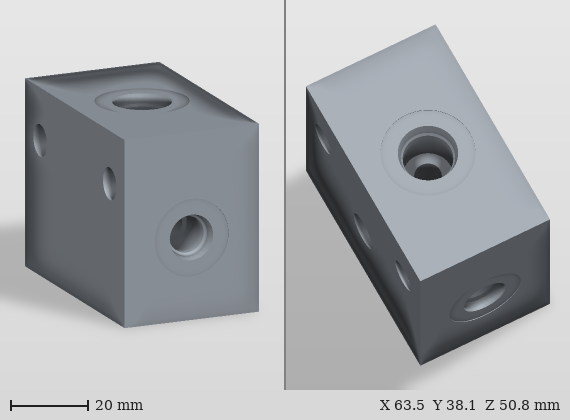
import cadquery as cq
import math

length = 63.5
width = 38.1
height = 50.8

mount_diameter = 8.7
mount_spacing = 44.45
mount_z = 36.5

drill_diameter = 7.2
gallery_z = 22.2
base_drill_x = -15.9

back_diameter = 10.3
back_shoulder_y = 1.3
drill_point_angle = 118.0

spotface_depth = 0.2
seat_depth = 2.7
ledge_depth = 3.4

top_spotface = 24.65
top_seat = 15.7
top_seat_end = 14.15
top_bore = 13.15
top_bore_depth = 14.0

side_spotface = 20.95
side_seat = 12.3
side_seat_end = 11.2
side_bore = 9.8
side_bore_depth = 14.15


def port(origin, inward, spotface, seat, seat_end, bore, bore_depth):
    """Port cavity of the given diameters, running from a face into the block."""
    profile = (
        cq.Workplane("XZ")
        .polyline([
            (0, 0),
            (spotface / 2, 0),
            (spotface / 2, spotface_depth),
            (seat / 2, spotface_depth),
            (seat_end / 2, seat_depth),
            (bore / 2, ledge_depth),
            (bore / 2, bore_depth),
            (0, bore_depth),
        ])
        .close()
        .revolve(360, (0, 0, 0), (0, 1, 0))
    )
    plane = cq.Plane(origin=origin, normal=inward)
    return profile.val().moved(cq.Location(plane))


def top_port():
    return port((0, 0, height), (0, 0, -1),
                top_spotface, top_seat, top_seat_end, top_bore, top_bore_depth)


def side_port(side):
    """Port on the left (side = -1) or right (side = 1) end of the gallery."""
    return port((side * length / 2, 0, gallery_z), (-side, 0, 0),
                side_spotface, side_seat, side_seat_end, side_bore, side_bore_depth)


def back_drilling():
    radius = back_diameter / 2
    point_length = radius / math.tan(math.radians(drill_point_angle / 2))
    return (
        cq.Workplane("XY")
        .polyline([
            (0, width / 2),
            (radius, width / 2),
            (radius, back_shoulder_y),
            (0, back_shoulder_y - point_length),
        ])
        .close()
        .revolve(360, (0, 0, 0), (0, 1, 0))
        .translate((0, 0, gallery_z))
    )


block = cq.Workplane("XY").box(length, width, height, centered=(True, True, False))

mounts = (
    cq.Workplane("XZ")
    .pushPoints([(side * mount_spacing / 2, mount_z) for side in (-1, 1)])
    .circle(mount_diameter / 2)
    .extrude(width, both=True)
)

gallery = cq.Workplane("YZ").center(0, gallery_z).circle(drill_diameter / 2).extrude(length, both=True)

riser = cq.Workplane("XY", origin=(0, 0, gallery_z)).circle(drill_diameter / 2).extrude(height - gallery_z)

base_drilling = cq.Workplane("XY").center(base_drill_x, 0).circle(drill_diameter / 2).extrude(gallery_z)

result = (
    block.cut(back_drilling())
    .cut(gallery)
    .cut(riser)
    .cut(base_drilling)
    .cut(mounts)
    .cut(top_port())
    .cut(side_port(-1))
    .cut(side_port(1))
)